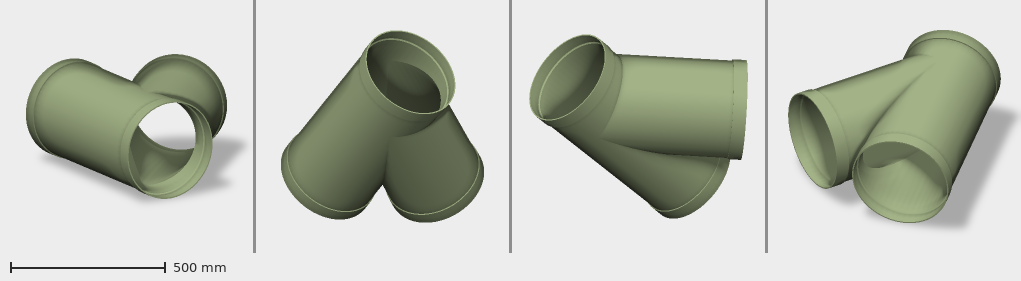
import cadquery as cq

run_length = 625.0
branch_start = 470.0
branch_length = 470.0
branch_angle = 135.0
collar_length = 44.5
collar_diameter = 323.0
pipe_diameter = 315.0
bore_diameter = 307.0
socket_diameter = pipe_diameter
taper_length = (socket_diameter - bore_diameter) / 2


def rod(length, diameter):
    """Solid cylinder from the origin along +X."""
    return cq.Workplane("YZ").circle(diameter / 2).extrude(length)


def socket_cavity():
    """Socket with its mouth at the origin, tapering to the bore at the collar's depth."""
    straight_depth = collar_length - taper_length
    return (
        cq.Workplane("XY")
        .lineTo(0, socket_diameter / 2)
        .lineTo(straight_depth, socket_diameter / 2)
        .lineTo(collar_length, bore_diameter / 2)
        .lineTo(collar_length, 0)
        .close()
        .revolve(360, (0, 0, 0), (1, 0, 0))
    )


def at_start(body):
    """Leave a body at the run's starting mouth."""
    return body


def at_end(body):
    """Turn a body inward from the run's far mouth."""
    return body.rotate((0, 0, 0), (0, 0, 1), 180).translate((run_length, 0, 0))


def on_branch(body):
    """Turn a body lying along +X onto the branch axis."""
    turned = body.rotate((0, 0, 0), (0, 0, 1), branch_angle)
    return turned.translate((branch_start, 0, 0))


def at_branch_mouth(body):
    """Turn a body inward from the branch mouth."""
    inward = body.rotate((0, 0, 0), (0, 0, 1), 180).translate((branch_length, 0, 0))
    return on_branch(inward)


outside = rod(run_length, pipe_diameter).union(on_branch(rod(branch_length, pipe_diameter)))
inside = rod(run_length, bore_diameter).union(on_branch(rod(branch_length, bore_diameter)))

for place in (at_start, at_end, at_branch_mouth):
    outside = outside.union(place(rod(collar_length, collar_diameter)))
    inside = inside.union(place(socket_cavity()))

result = outside.cut(inside)